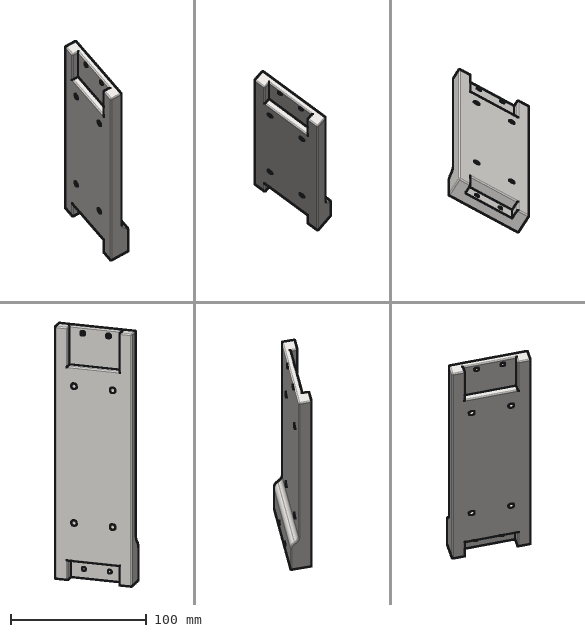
import cadquery as cq
import math

width = 60.0
height = 196.0
plate_thickness = 10.0
edge_radius = 1.0

foot_thickness = 16.0
foot_straight_height = 25.3
blend_radius = 8.0
blend_depth = foot_thickness - plate_thickness
blend_angle = math.acos(1 - blend_depth / (2 * blend_radius))
blend_height = 2 * blend_radius * math.sin(blend_angle)

pocket_width = 40.0
top_pocket_height = 30.0
top_pocket_depth = 5.0
foot_pocket_height = 15.0
foot_pocket_depth = 8.0

hole_rows = [
    (3.0, 20.0, 7.5),
    (4.3, 30.0, 45.0),
    (4.3, 30.0, 151.1),
    (3.5, 20.0, 191.1),
]


def make_body():
    """Plate and foot, extruded from the side profile, front face at y = 0."""
    blend_end = foot_straight_height + blend_height
    blend_middle = foot_straight_height + blend_height / 2
    half_angle = blend_angle / 2
    arc_depth = blend_radius * (1 - math.cos(half_angle))
    arc_rise = blend_radius * math.sin(half_angle)
    return (
        cq.Workplane("YZ")
        .moveTo(0, 0)
        .lineTo(foot_thickness, 0)
        .lineTo(foot_thickness, foot_straight_height)
        .threePointArc(
            (foot_thickness - arc_depth, foot_straight_height + arc_rise),
            (foot_thickness - blend_depth / 2, blend_middle),
        )
        .threePointArc(
            (plate_thickness + arc_depth, blend_end - arc_rise),
            (plate_thickness, blend_end),
        )
        .lineTo(plate_thickness, height)
        .lineTo(0, height)
        .close()
        .extrude(width / 2, both=True)
    )


def cut_pocket(body, bottom, top, depth):
    """Cut a rectangular pocket into the front face."""
    pocket = cq.Workplane("XY").box(
        pocket_width, depth, top - bottom, centered=(True, False, False)
    ).translate((0, 0, bottom))
    return body.cut(pocket)


def cut_hole_row(body, diameter, spacing, level):
    """Cut a pair of holes through the part, front to back."""
    holes = (
        cq.Workplane("XZ")
        .pushPoints([(-spacing / 2, level), (spacing / 2, level)])
        .circle(diameter / 2)
        .extrude(-foot_thickness)
    )
    return body.cut(holes)


part = make_body()

part = part.faces("<X or >X or <Z").edges("not(<Y or >Z)").fillet(edge_radius)

part = cut_pocket(part, height - top_pocket_height, height, top_pocket_depth)
part = cut_pocket(part, 0, foot_pocket_height, foot_pocket_depth)

part = part.faces("<Y or >Z").fillet(edge_radius)

for diameter, spacing, level in hole_rows:
    part = cut_hole_row(part, diameter, spacing, level)

result = part